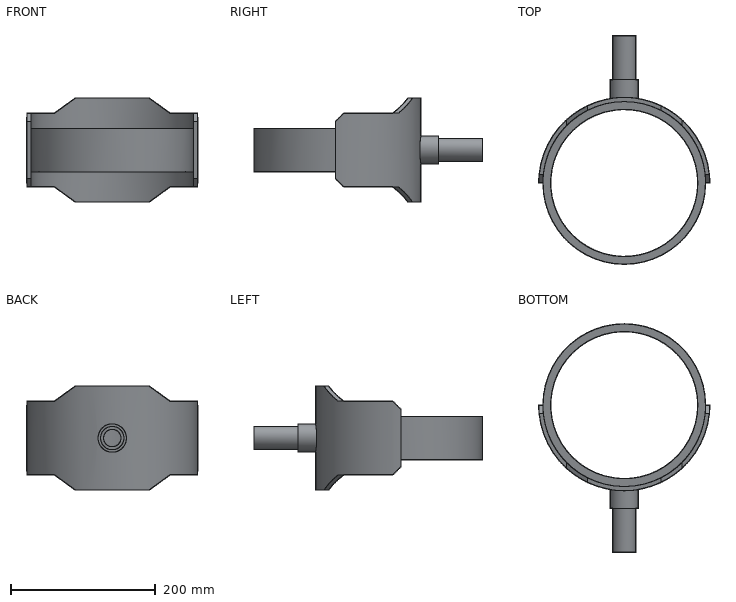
import cadquery as cq

ring_outer_radius = 112.3
ring_wall = 11.0
ring_inner_radius = ring_outer_radius - ring_wall
ring_height = 60.0

saddle_width = 236.3
saddle_outer_radius = saddle_width / 2
saddle_side_height = 102.0
saddle_full_height = 144.0
crest_half_width = 50.8
crest_base_half_width = 79.8
end_chamfer = 11.7

total_length = 315.5
stem_end = total_length - ring_outer_radius
stem_radius = 16.0
collar_radius = 19.5
collar_end = 142.5
bore_radius = 12.0


def tube(outer_radius, inner_radius, height):
    """Tube along Z, centred on the origin."""
    return (
        cq.Workplane("XY", origin=(0, 0, -height / 2))
        .circle(outer_radius)
        .circle(inner_radius)
        .extrude(height)
    )


def rod(radius, start, end):
    """Round rod along Y from start to end."""
    return cq.Workplane("XZ", origin=(0, start, 0)).circle(radius).extrude(start - end)


def make_saddle():
    shell = tube(saddle_outer_radius, ring_outer_radius, saddle_full_height)
    side = saddle_side_height / 2
    crest = saddle_full_height / 2

    upper_edge = [
        (-saddle_outer_radius, side),
        (-crest_base_half_width, side),
        (-crest_half_width, crest),
        (crest_half_width, crest),
        (crest_base_half_width, side),
        (saddle_outer_radius, side),
    ]
    lower_edge = [(x, -z) for x, z in reversed(upper_edge)]
    front_outline = (
        cq.Workplane("XZ")
        .polyline(upper_edge + lower_edge)
        .close()
        .extrude(-saddle_outer_radius)
    )

    side_outline = (
        cq.Workplane("YZ", origin=(-saddle_outer_radius, 0, 0))
        .polyline([
            (0, side - end_chamfer),
            (end_chamfer, side),
            (end_chamfer, crest),
            (saddle_outer_radius, crest),
            (saddle_outer_radius, -crest),
            (end_chamfer, -crest),
            (end_chamfer, -side),
            (0, -side + end_chamfer),
        ])
        .close()
        .extrude(2 * saddle_outer_radius)
    )
    return shell.intersect(front_outline).intersect(side_outline)


def make_stem():
    collar_start = ring_inner_radius + ring_wall / 2
    collar = rod(collar_radius, collar_start, collar_end)
    return collar.union(rod(stem_radius, collar_start, stem_end))


ring = tube(ring_outer_radius, ring_inner_radius, ring_height)
body = ring.union(make_saddle()).union(make_stem())

result = body.cut(rod(bore_radius, 0, stem_end))